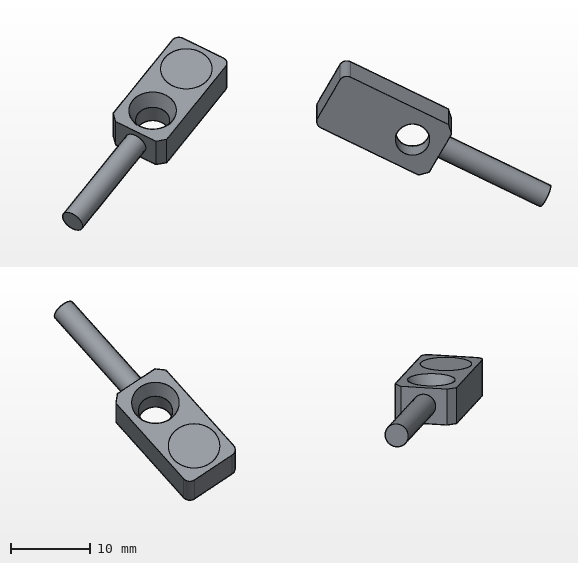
import cadquery as cq

housing_width = 8.0
housing_length = 16.0
housing_height = 4.7
corner_size = 1.0
top_z = housing_height / 2

face_diameter = 6.5
face_thickness = 1.0
face_y = housing_length - housing_width / 2

hole_diameter = 4.3
sink_diameter = 6.0
sink_depth = 2.0
hole_y = housing_width / 2

overall_length = 31.0
cable_diameter = 3.0
cable_length = overall_length - housing_length


def make_sensing_face():
    return (
        cq.Workplane("XY", origin=(0, face_y, top_z))
        .circle(face_diameter / 2)
        .extrude(-face_thickness)
    )


def make_mounting_hole():
    """Through hole with a conical mouth, as one cutting solid."""
    hole_radius = hole_diameter / 2
    return (
        cq.Workplane("XZ", origin=(0, hole_y, 0))
        .moveTo(0, -top_z)
        .lineTo(hole_radius, -top_z)
        .lineTo(hole_radius, top_z - sink_depth)
        .lineTo(sink_diameter / 2, top_z)
        .lineTo(0, top_z)
        .close()
        .revolve(360, (0, 0, 0), (0, 1, 0))
    )


def make_housing(sensing_face):
    block = (
        cq.Workplane("XY")
        .box(housing_width, housing_length, housing_height)
        .translate((0, housing_length / 2, 0))
    )
    block = block.faces(">Y").edges("|Z").fillet(corner_size)
    block = block.faces("<Y").edges("|Z").chamfer(corner_size)
    return block.cut(make_mounting_hole()).cut(sensing_face)


def make_cable():
    return cq.Workplane("XZ").circle(cable_diameter / 2).extrude(cable_length)


sensing_face = make_sensing_face()
housing = make_housing(sensing_face)
cable = make_cable()

result = cq.Compound.makeCompound([housing.val(), sensing_face.val(), cable.val()])